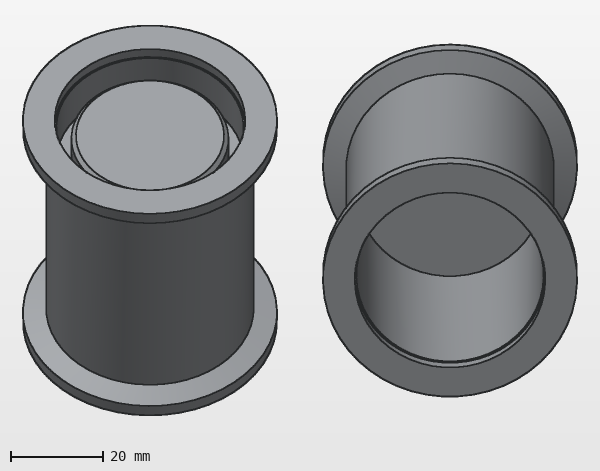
import cadquery as cq

height = 65.0
flange_diameter = 55.0

rim_thickness = 3.05
cone_height = 1.3
flange_thickness = rim_thickness + cone_height

tube_outer_diameter = 45.0
tube_bore_diameter = 40.5
mouth_diameter = 41.2
mouth_depth = 2.55
tube_length = height - 2 * mouth_depth

plug_diameter = 34.0
plug_chamfer = 1.0
plug_top_depth = 5.15
core_floor_depth = 13.3
core_disc_thickness = 2.6
plug_height = core_floor_depth - plug_top_depth


def make_bottom_flange():
    """Flange with its mating face at Z = 0, revolved about Z."""
    flange_radius = flange_diameter / 2
    socket_radius = tube_outer_diameter / 2
    mouth_radius = mouth_diameter / 2
    profile = [
        (mouth_radius, 0),
        (flange_radius, 0),
        (flange_radius, rim_thickness),
        (socket_radius, flange_thickness),
        (socket_radius, mouth_depth),
        (mouth_radius, mouth_depth),
    ]
    return cq.Workplane("XZ").polyline(profile).close().revolve(360, (0, 0), (0, 1))


def make_flanges():
    """Bottom flange and its mirror image at the top, as separate solids."""
    flanges = cq.Workplane("XY")
    for is_top in (False, True):
        flange = make_bottom_flange()
        if is_top:
            flange = flange.mirror("XY", (0, 0, height / 2))
        flanges.add(flange.val())
    return flanges


def make_tube():
    """Plain tube whose ends seat against the shoulders in the flanges."""
    return (
        cq.Workplane("XY")
        .workplane(offset=mouth_depth)
        .circle(tube_outer_diameter / 2)
        .circle(tube_bore_diameter / 2)
        .extrude(tube_length)
    )


def make_core():
    """Disc across the tube bore with a chamfered round plug on top."""
    plug = (
        cq.Workplane("XY")
        .workplane(offset=height - core_floor_depth)
        .circle(plug_diameter / 2)
        .extrude(plug_height)
        .faces(">Z")
        .edges()
        .chamfer(plug_chamfer)
    )
    disc = (
        cq.Workplane("XY")
        .workplane(offset=height - core_floor_depth)
        .circle(tube_bore_diameter / 2)
        .extrude(-core_disc_thickness)
    )
    return disc.union(plug)


flanges = make_flanges()
tube = make_tube()
core = make_core()

result = cq.Compound.makeCompound([*flanges.vals(), tube.val(), core.val()])